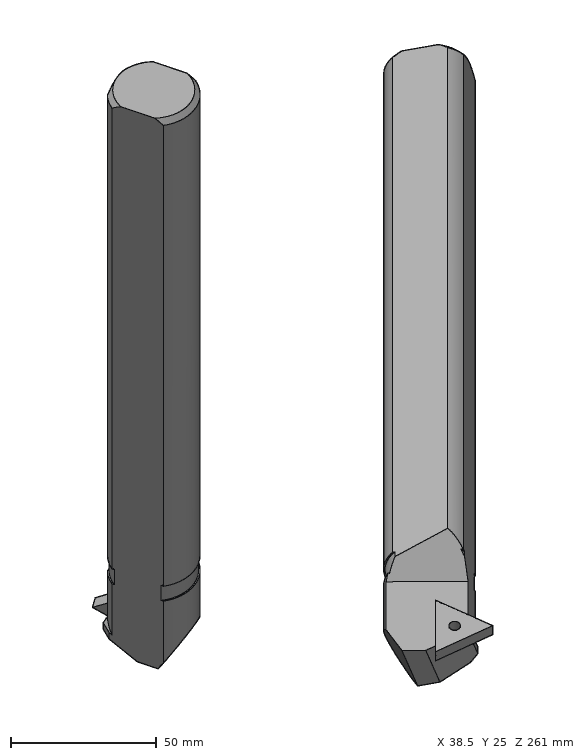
import cadquery as cq
import math

total_length = 261.0
shank_radius = 16.0
flat_to_flat = 25.0
left_flat_x = -14.0
nose_z = 1.0
top_chamfer_width = 1.8
top_chamfer_height = 2.0
groove_bottom_z = 34.0
groove_top_z = 41.0
groove_depth = 0.5

nose_slope = math.tan(math.radians(30))
nose_left_z = 9.1
right_bevel_z = 15.1
right_bevel_width = 8.0

corner_band = 3.1
corner_width = 6.3
corner_chamfer_x = 3.1
corner_chamfer_y = 1.8

rake_angle = math.radians(15)
gullet_floor_y = 1.8
gullet_top_z = 31.3
gullet_ramp_angle = math.radians(30)
insert_tip_x = -22.5
insert_side = 22.7
insert_thickness = 5.0
insert_rise = 0.5
insert_hole_diameter = 4.0

half_flat = flat_to_flat / 2
oversize = 3 * shank_radius

insert_tip_local_x = (insert_tip_x - left_flat_x) / math.cos(rake_angle)
insert_height = insert_side * math.sin(math.radians(60))

insert_plane = cq.Plane(
    origin=(left_flat_x, gullet_floor_y + insert_rise, 0),
    xDir=(math.cos(rake_angle), math.sin(rake_angle), 0),
    normal=(math.sin(rake_angle), -math.cos(rake_angle), 0),
)


def make_blank():
    """Flattened round bar with a conical chamfer at its top end."""
    length = total_length - nose_z
    chamfer_start_z = total_length - top_chamfer_height
    bar = (
        cq.Workplane("XZ")
        .moveTo(0, nose_z)
        .lineTo(shank_radius, nose_z)
        .lineTo(shank_radius, chamfer_start_z)
        .lineTo(shank_radius - top_chamfer_width, total_length)
        .lineTo(0, total_length)
        .close()
        .revolve(360, (0, 0, 0), (0, 1, 0))
    )
    flats = (
        cq.Workplane("XY", origin=(left_flat_x, 0, nose_z))
        .box(oversize, flat_to_flat, length, centered=(False, True, False))
    )
    return bar.intersect(flats)


def make_groove():
    """Shallow ring cut around the round parts of the shank."""
    return (
        cq.Workplane("XY", origin=(0, 0, groove_bottom_z))
        .circle(oversize)
        .circle(shank_radius - groove_depth)
        .extrude(groove_top_z - groove_bottom_z)
    )


def make_squared_corner():
    """Band of squared-off corner that follows the left nose bevel."""
    top_z = nose_left_z + corner_band
    corner = (
        cq.Workplane("XY", origin=(0, 0, nose_z))
        .moveTo(left_flat_x, -half_flat + corner_chamfer_y)
        .lineTo(left_flat_x + corner_chamfer_x, -half_flat)
        .lineTo(left_flat_x + corner_width, -half_flat)
        .lineTo(left_flat_x + corner_width, 0)
        .lineTo(left_flat_x, 0)
        .close()
        .extrude(top_z)
    )
    below_band_top = (
        cq.Workplane("XZ")
        .moveTo(left_flat_x, 0)
        .lineTo(left_flat_x, top_z)
        .lineTo(left_flat_x + corner_width, top_z - corner_width * nose_slope)
        .lineTo(left_flat_x + corner_width, 0)
        .close()
        .extrude(half_flat)
    )
    return corner.intersect(below_band_top)


def make_nose_cuts():
    """Wedges that bevel the left and right of the nose."""
    left_run = nose_left_z / nose_slope
    left = (
        cq.Workplane("XZ")
        .polyline([(left_flat_x, 0), (left_flat_x, nose_left_z), (left_flat_x + left_run, 0)])
        .close()
        .extrude(oversize, both=True)
    )
    bevel_slope = (right_bevel_z - nose_z) / right_bevel_width
    right = (
        cq.Workplane("XZ")
        .moveTo(shank_radius, 0)
        .lineTo(shank_radius, right_bevel_z)
        .lineTo(shank_radius - right_bevel_z / bevel_slope, 0)
        .close()
        .extrude(oversize, both=True)
    )
    return left.union(right)


def make_gullet():
    """Chip space above its tilted floor, running out upward along a ramp."""
    run_out = oversize / math.tan(gullet_ramp_angle)
    profile_plane = cq.Plane(
        origin=(left_flat_x, gullet_floor_y, 0),
        xDir=(-math.sin(rake_angle), math.cos(rake_angle), 0),
        normal=(math.cos(rake_angle), math.sin(rake_angle), 0),
    )
    return (
        cq.Workplane(profile_plane)
        .moveTo(0, 0)
        .lineTo(0, gullet_top_z)
        .lineTo(oversize, gullet_top_z + run_out)
        .lineTo(oversize, 0)
        .close()
        .extrude(oversize, both=True)
    )


def make_insert_blank():
    """Equilateral triangular plate with one side upright and a tip pointing left."""
    return (
        cq.Workplane(insert_plane)
        .moveTo(insert_tip_local_x, insert_side / 2)
        .lineTo(insert_tip_local_x + insert_height, 0)
        .lineTo(insert_tip_local_x + insert_height, insert_side)
        .close()
        .extrude(insert_thickness)
    )


def make_insert():
    """Insert with a hole through the centre of the triangle."""
    inscribed_radius = insert_side / (2 * math.sqrt(3))
    hole = (
        cq.Workplane(insert_plane)
        .center(insert_tip_local_x + 2 * inscribed_radius, insert_side / 2)
        .circle(insert_hole_diameter / 2)
        .extrude(insert_thickness)
    )
    return make_insert_blank().cut(hole)


def make_shank():
    """Shank with its nose shaped and a seat that matches the insert."""
    return (
        make_blank()
        .cut(make_groove())
        .union(make_squared_corner())
        .cut(make_nose_cuts())
        .cut(make_gullet())
        .cut(make_insert_blank())
    )


shank = make_shank()
insert = make_insert()

result = cq.Compound.makeCompound([shank.val(), insert.val()])